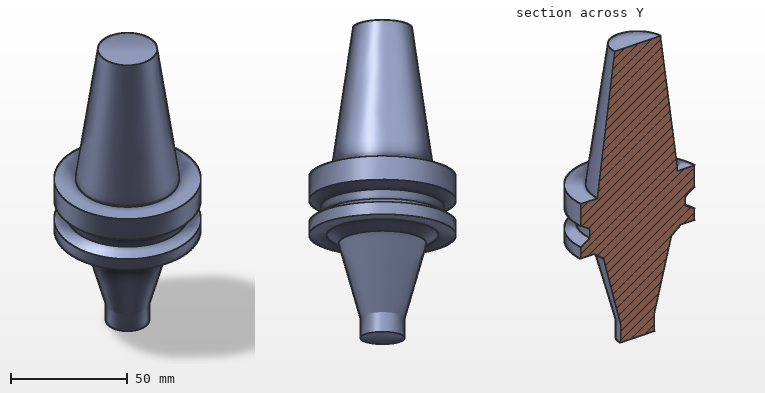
import cadquery as cq

total_length = 138.4

nose_diameter = 19.0
body_diameter = 37.6
collar_diameter = 47.9
flange_diameter = 63.0
groove_diameter = 53.0
gauge_diameter = 44.4
taper_tip_diameter = 25.5

taper_length = 65.3
gauge_land_length = 1.1
upper_flange_length = 10.5
groove_side_length = 2.9
groove_floor_length = 4.2
lower_flange_length = 5.5
collar_length = 3.7
nose_length = 8.7

gauge_z = total_length - taper_length
flange_top_z = gauge_z - gauge_land_length
groove_top_z = flange_top_z - upper_flange_length
groove_floor_top_z = groove_top_z - groove_side_length
groove_floor_bottom_z = groove_floor_top_z - groove_floor_length
groove_bottom_z = groove_floor_bottom_z - groove_side_length
flange_bottom_z = groove_bottom_z - lower_flange_length
body_top_z = flange_bottom_z - collar_length

sections = [
    (nose_diameter, 0),
    (nose_diameter, nose_length),
    (body_diameter, body_top_z),
    (collar_diameter, flange_bottom_z),
    (flange_diameter, flange_bottom_z),
    (flange_diameter, groove_bottom_z),
    (groove_diameter, groove_floor_bottom_z),
    (groove_diameter, groove_floor_top_z),
    (flange_diameter, groove_top_z),
    (flange_diameter, flange_top_z),
    (gauge_diameter, flange_top_z),
    (gauge_diameter, gauge_z),
    (taper_tip_diameter, total_length),
]

half_section = [(0, 0)]
half_section += [(diameter / 2, z) for diameter, z in sections]
half_section += [(0, total_length)]
result = cq.Workplane("XZ").polyline(half_section).close().revolve(360, (0, 0), (0, 1))